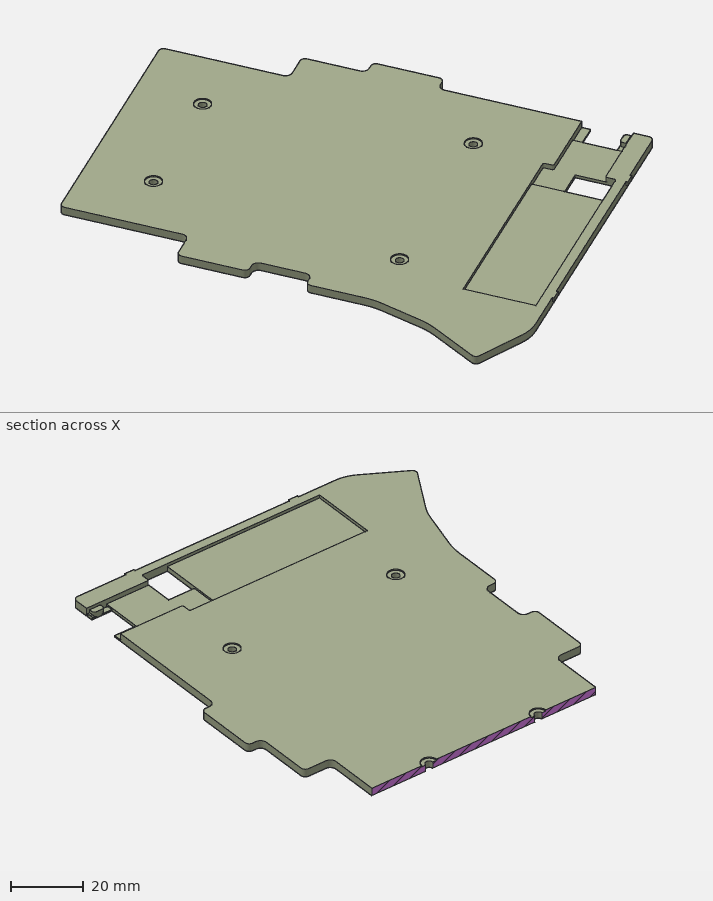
import cadquery as cq
import math

KEY_PITCH = 19.0
RIM = 1.0
THICKNESS = 2.6
OVERALL_X = 142.05
OVERALL_Y = 116.18

STAGGER = KEY_PITCH / 2
STEP = KEY_PITCH / 4
MAIN_TOP = 5 * KEY_PITCH + 2 * RIM
TAB_TOP = MAIN_TOP + STEP
BODY_RIGHT = 141.5
BLOCK_X = 2 * KEY_PITCH
TAB_LEFT = 3 * KEY_PITCH
TAB_RIGHT = 4 * KEY_PITCH + 2 * RIM
NOTCH_LEFT = TAB_LEFT + 2 * RIM
NOTCH_RIGHT = TAB_RIGHT - 2 * RIM
OUTER_RADIUS = 1.5
INNER_RADIUS = 2.0

FIRST_BEND_X = 96.0
SECOND_BEND_X = 113.9
BEND_ANGLE = 15.0
BEND_RADIUS = 20.0
SHOULDER_RADIUS = 12.5

SCREW_DIAMETER = 2.4
HEAD_DIAMETER = 5.0
HEAD_DEPTH = 0.4
SCREW_CENTRES = [
    (RIM + x * KEY_PITCH, RIM + y * KEY_PITCH)
    for x, y in [(1, 1.5), (1, 3.5), (5, 1), (5, 4)]
]

POCKET_LEFT = 117.2
POCKET_RIGHT = 138.6
POCKET_BOTTOM = 13.4
POCKET_TOP = 75.3
POCKET_FLOOR = 1.6
DEEP_BOTTOM = 66.4
DEEP_FLOOR = 1.0
CHANNEL_LEFT = 120.3
CHANNEL_RIGHT = 135.5
WINDOW_LEFT = 126.6
POCKET_RADIUS = 0.5

OPENING_LEFT = 122.9
OPENING_RIGHT = 133.1
OPENING_BOTTOM = 90.0
LEDGE_FLOOR = 0.5

FINGER_RIGHT = 135.0
LATCH_BOTTOM = 92.5
LATCH_TOP = 96.3
LATCH_HEIGHT = 1.6
LATCH_RADIUS = 1.0
NUB_LEFT = 132.7
NUB_HEIGHT = 0.6

BUMP_LENGTH = 3.2
BUMP_HEIGHT = 1.3
BUMP_CENTRES_Y = [RIM + KEY_PITCH, RIM + 4 * KEY_PITCH]


def box(x0, x1, y0, y1, z0, z1):
    """Block spanning the given limits."""
    return cq.Workplane("XY").box(x1 - x0, y1 - y0, z1 - z0, centered=False).translate((x0, y0, z0))


def rounded_outline(corners):
    """Closed wire through (x, y, radius) corners, each replaced by a tangent arc."""
    arcs = []
    for i, (x, y, radius) in enumerate(corners):
        corner = cq.Vector(x, y)
        to_previous = (cq.Vector(*corners[i - 1][:2]) - corner).normalized()
        to_next = (cq.Vector(*corners[(i + 1) % len(corners)][:2]) - corner).normalized()
        half_angle = to_previous.getAngle(to_next) / 2
        tangent_length = radius / math.tan(half_angle)
        arc_offset = radius / math.sin(half_angle) - radius
        bisector = (to_previous + to_next).normalized()
        arcs.append((
            corner + to_previous * tangent_length,
            corner + bisector * arc_offset,
            corner + to_next * tangent_length,
        ))
    outline = cq.Workplane("XY").moveTo(*arcs[0][2].toTuple()[:2])
    for start, middle, end in arcs[1:] + arcs[:1]:
        outline = outline.lineTo(start.x, start.y).threePointArc((middle.x, middle.y), (end.x, end.y))
    return outline.close()


def make_plate():
    """Plate with stepped left side and an angled lower right corner."""
    first_angle = math.radians(BEND_ANGLE)
    second_angle = 2 * first_angle
    second_bend_y = -(SECOND_BEND_X - FIRST_BEND_X) * math.tan(first_angle)
    rounding_loss = OUTER_RADIUS * (math.sin(second_angle) + math.cos(second_angle) - 1)
    tip_y = TAB_TOP - OVERALL_Y - rounding_loss
    tip_x = SECOND_BEND_X + (second_bend_y - tip_y) / math.tan(second_angle)
    shoulder_y = tip_y + (BODY_RIGHT - tip_x) / math.tan(second_angle)

    block_bottom = STAGGER
    block_top = STAGGER + 4 * KEY_PITCH + 2 * RIM
    corners = [
        (0, block_bottom, OUTER_RADIUS),
        (BLOCK_X, block_bottom, INNER_RADIUS),
        (BLOCK_X, 0, OUTER_RADIUS),
        (NOTCH_LEFT, 0, OUTER_RADIUS),
        (NOTCH_LEFT, STEP, INNER_RADIUS),
        (NOTCH_RIGHT, STEP, INNER_RADIUS),
        (NOTCH_RIGHT, 0, OUTER_RADIUS),
        (FIRST_BEND_X, 0, BEND_RADIUS),
        (SECOND_BEND_X, second_bend_y, BEND_RADIUS),
        (tip_x, tip_y, OUTER_RADIUS),
        (BODY_RIGHT, shoulder_y, SHOULDER_RADIUS),
        (BODY_RIGHT, MAIN_TOP, OUTER_RADIUS),
        (TAB_RIGHT, MAIN_TOP, INNER_RADIUS),
        (TAB_RIGHT, TAB_TOP, OUTER_RADIUS),
        (TAB_LEFT, TAB_TOP, OUTER_RADIUS),
        (TAB_LEFT, MAIN_TOP, INNER_RADIUS),
        (BLOCK_X, MAIN_TOP, OUTER_RADIUS),
        (BLOCK_X, block_top, INNER_RADIUS),
        (0, block_top, OUTER_RADIUS),
    ]
    return rounded_outline(corners).extrude(THICKNESS)


def cut_screw_holes(body):
    """Through holes with counterbores in the upper face."""
    return (
        body.faces(">Z").workplane(origin=(0, 0, THICKNESS))
        .pushPoints(SCREW_CENTRES)
        .cboreHole(SCREW_DIAMETER, HEAD_DIAMETER, HEAD_DEPTH)
    )


def cut_pockets(body):
    """Stepped pocket, its window and the connector opening."""
    long_pocket = box(POCKET_LEFT, POCKET_RIGHT, POCKET_BOTTOM, DEEP_BOTTOM, POCKET_FLOOR, THICKNESS)
    deep_pocket = box(POCKET_LEFT, POCKET_RIGHT, DEEP_BOTTOM, POCKET_TOP, DEEP_FLOOR, THICKNESS)
    channel = box(CHANNEL_LEFT, CHANNEL_RIGHT, POCKET_TOP, MAIN_TOP, DEEP_FLOOR, THICKNESS)
    shoulders = cq.selectors.BoxSelector(
        (POCKET_LEFT - RIM, POCKET_TOP - RIM, 0),
        (POCKET_RIGHT + RIM, POCKET_TOP + RIM, THICKNESS),
    )
    deep_pocket = deep_pocket.union(channel).edges("|Z").edges(shoulders).fillet(POCKET_RADIUS)
    window = box(WINDOW_LEFT, POCKET_RIGHT, DEEP_BOTTOM, POCKET_TOP, 0, THICKNESS)
    window = window.edges("|Z and >X and >Y").fillet(POCKET_RADIUS)
    ledges = box(CHANNEL_LEFT, CHANNEL_RIGHT, OPENING_BOTTOM, MAIN_TOP, LEDGE_FLOOR, THICKNESS)
    opening = box(OPENING_LEFT, OPENING_RIGHT, OPENING_BOTTOM, MAIN_TOP, 0, THICKNESS)
    for cutter in (long_pocket, deep_pocket, window, ledges, opening):
        body = body.cut(cutter)
    return body


def cut_finger_slit(body):
    """Narrow through slit between the right ledge and the rail."""
    return body.cut(box(FINGER_RIGHT, CHANNEL_RIGHT, OPENING_BOTTOM, MAIN_TOP, 0, THICKNESS))


def make_latch():
    """Rounded block on the finger and a nub at its end, reaching into the opening."""
    block_top_z = LEDGE_FLOOR + LATCH_HEIGHT
    block = box(OPENING_RIGHT, FINGER_RIGHT, LATCH_BOTTOM, LATCH_TOP, LEDGE_FLOOR, block_top_z)
    block = block.edges("|Z and <X").fillet(LATCH_RADIUS)
    nub = box(NUB_LEFT, FINGER_RIGHT, LATCH_TOP, MAIN_TOP, LEDGE_FLOOR, LEDGE_FLOOR + NUB_HEIGHT)
    return block.union(nub)


def make_bump(centre_y):
    """Small catch along the upper part of the right edge."""
    half_length = BUMP_LENGTH / 2
    return box(
        BODY_RIGHT - RIM, OVERALL_X,
        centre_y - half_length, centre_y + half_length,
        THICKNESS - BUMP_HEIGHT, THICKNESS,
    )


plate = cut_screw_holes(make_plate())
result = cut_finger_slit(cut_pockets(plate)).union(make_latch())
for bump_y in BUMP_CENTRES_Y:
    result = result.union(make_bump(bump_y))